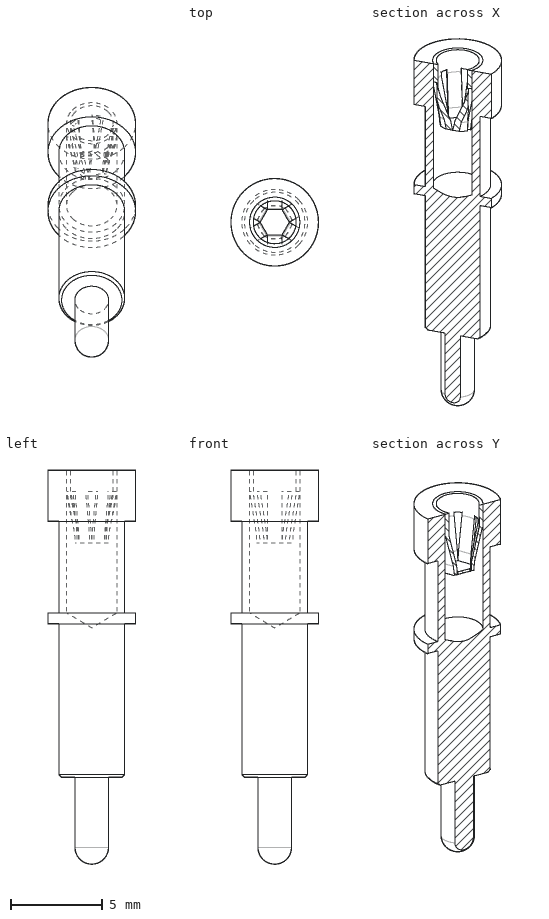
import cadquery as cq
import math


body_diameter = 3.6
collar_diameter = 4.8
body_length = 16.8
head_height = 2.8
head_to_flange_gap = 5
flange_top_depth = head_height + head_to_flange_gap
flange_thickness = 0.6
body_end_chamfer = 0.15
tail_diameter = 1.85
total_length = 21.55

bore_depth = flange_top_depth
drill_point_angle = 118

clip_outer_diameter = 2.75
clip_inner_diameter = 2.35
clip_wall = (clip_outer_diameter - clip_inner_diameter) / 2
ring_height = 1.17
finger_count = 6
finger_pitch_angle = 360 / finger_count
finger_width = 0.79
bend_depth = 1.38
finger_slope_angle = 78
contact_start_radius = 0.75
contact_radius = 0.69
contact_length = 0.6
finger_slope_run = clip_inner_diameter / 2 - contact_start_radius
contact_depth = bend_depth + finger_slope_run * math.tan(math.radians(finger_slope_angle))
clip_depth = contact_depth + contact_length


def cylinder(diameter, top_depth, length):
    """Upright cylinder on the Z axis that runs down from top_depth."""
    return cq.Workplane("XY", origin=(0, 0, -top_depth)).circle(diameter / 2).extrude(-length)


def make_bore():
    """Blind bore with the conical floor left by a drill."""
    radius = clip_outer_diameter / 2
    point_height = radius / math.tan(math.radians(drill_point_angle / 2))
    profile = (
        cq.Workplane("XZ")
        .lineTo(radius, 0)
        .lineTo(radius, -bore_depth)
        .lineTo(0, -bore_depth - point_height)
        .close()
    )
    return profile.revolve(360, (0, 0, 0), (0, 1, 0))


def make_tail():
    """Solid tail pin with a hemispherical end."""
    radius = tail_diameter / 2
    dome_depth = total_length - radius
    tail = cylinder(tail_diameter, body_length, dome_depth - body_length)
    dome = cq.Workplane("XY").sphere(radius).translate((0, 0, -dome_depth))
    return tail.union(dome)


def make_shell():
    shell = cylinder(body_diameter, 0, body_length).faces("<Z").chamfer(body_end_chamfer)
    shell = shell.union(cylinder(collar_diameter, 0, head_height))
    shell = shell.union(cylinder(collar_diameter, flange_top_depth, flange_thickness))
    shell = shell.union(make_tail())
    return shell.cut(make_bore()).solids()


def curved_section(depth):
    """Cross-section of a finger where it still follows the round wall of the ring."""
    half_width = finger_width / 2
    inner_radius = clip_inner_diameter / 2
    outer_radius = clip_outer_diameter / 2
    inner_edge = math.sqrt(inner_radius**2 - half_width**2)
    outer_edge = math.sqrt(outer_radius**2 - half_width**2)
    return (
        cq.Workplane("XY", origin=(0, 0, -depth))
        .moveTo(-half_width, inner_edge)
        .threePointArc((0, inner_radius), (half_width, inner_edge))
        .lineTo(half_width, outer_edge)
        .threePointArc((0, outer_radius), (-half_width, outer_edge))
        .close()
    )


def flat_section(inner_radius, depth):
    """Flat cross-section of a finger whose inner face is inner_radius away from the axis."""
    half_width = finger_width / 2
    outer_radius = inner_radius + clip_wall
    return (
        cq.Workplane("XY", origin=(0, 0, -depth))
        .moveTo(-half_width, inner_radius)
        .lineTo(half_width, inner_radius)
        .lineTo(half_width, outer_radius)
        .lineTo(-half_width, outer_radius)
        .close()
    )


def loft(upper, lower):
    """Straight-sided solid between two finger sections."""
    wires = [upper.wires().val(), lower.wires().val()]
    return cq.Workplane("XY").newObject([cq.Solid.makeLoft(wires, True)])


def make_slotted_ring():
    """Ring whose lower edge is slotted, which leaves one short upright root for each finger."""
    ring = cylinder(clip_outer_diameter, 0, bend_depth).cut(cylinder(clip_inner_diameter, 0, bend_depth))
    slots = cylinder(2 * clip_outer_diameter, ring_height, bend_depth)
    for index in range(finger_count // 2):
        opposite_roots = cq.Workplane("XY").box(finger_width, 2 * clip_outer_diameter, 2 * clip_depth)
        slots = slots.cut(opposite_roots.rotate((0, 0, 0), (0, 0, 1), index * finger_pitch_angle))
    return ring.cut(slots)


def make_finger():
    """Finger on the +Y side: a slope towards the axis, then a steeper contact end."""
    slope = loft(curved_section(bend_depth), flat_section(contact_start_radius, contact_depth))
    contact = loft(flat_section(contact_start_radius, contact_depth), flat_section(contact_radius, clip_depth))
    return slope.union(contact).solids().val()


def make_clip():
    finger = cq.Workplane(make_finger())
    fingers = [
        finger.rotate((0, 0, 0), (0, 0, 1), index * finger_pitch_angle).val()
        for index in range(finger_count)
    ]
    clip = make_slotted_ring().solids().val().fuse(*fingers)
    return cq.Workplane(clip).solids()


shell = make_shell()
clip = make_clip()
result = cq.Compound.makeCompound([shell.val(), clip.val()])